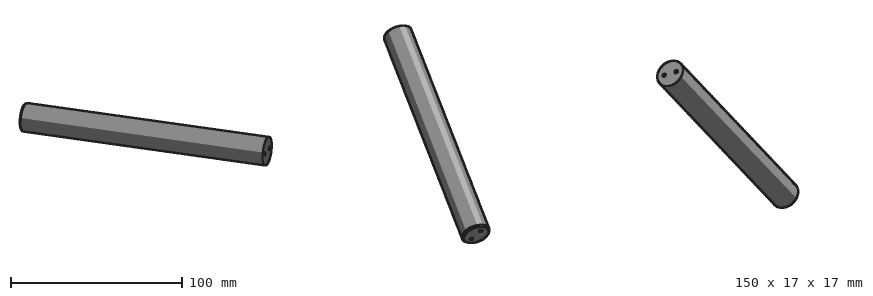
import math

import cadquery as cq

length = 150.0
diameter = 17.0
end_chamfer = 0.9

channel_diameter = 2.0
channel_offset_y = 2.8
channel_offset_z = 2.7
helix_angle = 30
helix_pitch = math.pi * diameter / math.tan(math.radians(helix_angle))
channel_twist = 360 * length / helix_pitch


def make_bar():
    """Bar with its chamfered end face at X = 0."""
    bar = cq.Workplane("YZ").circle(diameter / 2).extrude(length)
    return bar.faces("<X").edges().chamfer(end_chamfer)


def make_channels():
    """Pair of opposite right-hand spiral channels, starting at X = 0."""
    starts = [
        (channel_offset_y, -channel_offset_z),
        (-channel_offset_y, channel_offset_z),
    ]
    circles = cq.Workplane("YZ").pushPoints(starts).circle(channel_diameter / 2)
    return circles.twistExtrude(length, channel_twist)


result = make_bar().cut(make_channels())